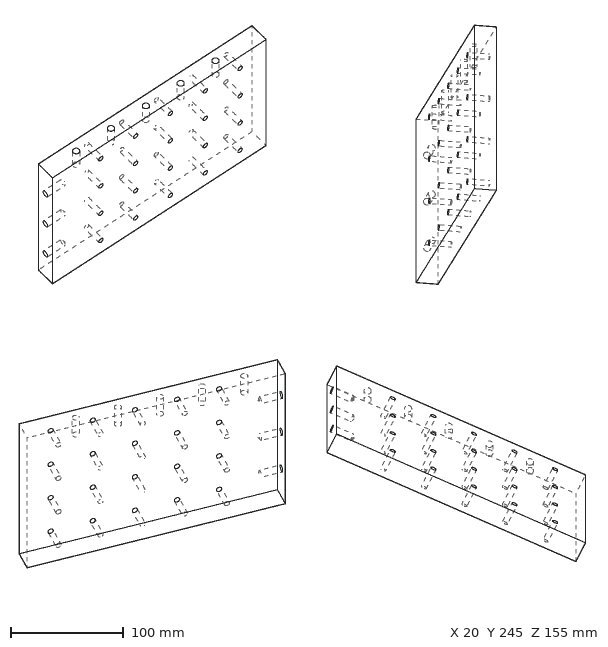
import cadquery as cq
import math

thickness = 20.0
length = 245.0
height = 155.0

grid_diameter = 5.0
grid_pitch = 40.0
grid_columns = 5
grid_rows = 4
grid_end_distance = 30.0

drill_diameter = 6.4
drill_depth = 20.0
drill_point_angle = 118.0
top_hole_count = 5
top_hole_end_distance = 50.0
end_hole_count = 3
end_hole_pitch = 43.9


def centred_positions(count, pitch):
    """Evenly spaced positions about zero."""
    return [(i - (count - 1) / 2) * pitch for i in range(count)]


def positions_from_end(end_distance, count):
    """Positions along Y at the grid pitch, starting from the +Y end."""
    return [length / 2 - end_distance - i * grid_pitch for i in range(count)]


def drilled_hole(entry, direction):
    """Blind hole with a conical drill point, as a solid to cut away."""
    radius = drill_diameter / 2
    point_height = radius / math.tan(math.radians(drill_point_angle / 2))
    start = cq.Vector(*entry)
    axis = cq.Vector(*direction)
    bore = cq.Solid.makeCylinder(radius, drill_depth, start, axis)
    point = cq.Solid.makeCone(radius, 0, point_height, start + axis * drill_depth, axis)
    return bore.fuse(point)


plate = cq.Workplane("XY").box(thickness, length, height)

grid_points = [
    (y, z)
    for y in positions_from_end(grid_end_distance, grid_columns)
    for z in centred_positions(grid_rows, grid_pitch)
]
grid_holes = (
    cq.Workplane("YZ")
    .pushPoints(grid_points)
    .circle(grid_diameter / 2)
    .extrude(thickness, both=True)
)
result = plate.cut(grid_holes)

for y in positions_from_end(top_hole_end_distance, top_hole_count):
    result = result.cut(drilled_hole((0, y, height / 2), (0, 0, -1)))

for z in centred_positions(end_hole_count, end_hole_pitch):
    result = result.cut(drilled_hole((0, -length / 2, z), (0, 1, 0)))